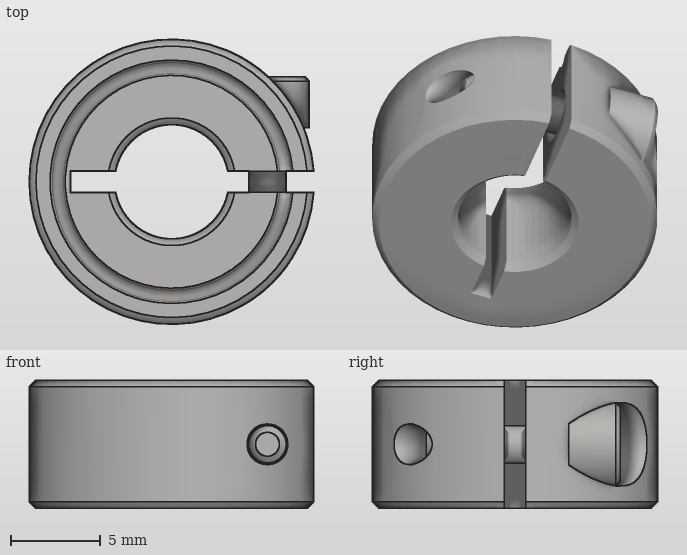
import cadquery as cq
import math

outer_radius = 15.875 / 2
bore_radius = 6.35 / 2
width = 7.14
edge_chamfer = 0.38
top_z = width / 2

groove_mean_radius = 6.35
groove_width = 0.85
groove_wall_depth = 0.2
groove_wall_slope = math.radians(60)

slot_width = 1.19
slot_end_x = -5.63

screw_x = 5.33
seat_y = 3.0
head_diameter = 4.65
head_height = 2.86
head_chamfer = 0.25
shank_diameter = 2.09
shank_length = 7.94
tip_chamfer = 0.38
clearance_diameter = 3.05
threaded_diameter = 2.26


def y_cylinder(diameter, start_y, end_y):
    """Cylinder on the screw axis between two Y positions, start_y being the higher."""
    plane = cq.Workplane("XZ", origin=(screw_x, start_y, 0))
    return plane.circle(diameter / 2).extrude(start_y - end_y)


def make_body():
    """Chamfered ring with a chamfered bore."""
    ring = cq.Workplane("XY").circle(outer_radius).circle(bore_radius).extrude(top_z, both=True)
    return ring.faces("|Z").edges().chamfer(edge_chamfer)


def make_groove():
    """Ring cutter whose sloping walls run tangent into the bottom arc."""
    half_width = groove_width / 2
    arc_half_width = half_width - groove_wall_depth / math.tan(groove_wall_slope)
    arc_radius = arc_half_width / math.sin(groove_wall_slope)
    arc_z = top_z - groove_wall_depth
    bottom_z = arc_z - arc_radius * (1 - math.cos(groove_wall_slope))
    profile = (
        cq.Workplane("XZ")
        .moveTo(groove_mean_radius - half_width, top_z)
        .lineTo(groove_mean_radius - arc_half_width, arc_z)
        .threePointArc((groove_mean_radius, bottom_z), (groove_mean_radius + arc_half_width, arc_z))
        .lineTo(groove_mean_radius + half_width, top_z)
        .close()
    )
    return profile.revolve(360, (0, 0), (0, 1))


def make_slot():
    """Through slot from its blind end out past the +X side."""
    length = outer_radius - slot_end_x
    return cq.Workplane("XY").box(length, slot_width, width, centered=(False, True, True)).translate(
        (slot_end_x, 0, 0)
    )


def make_screw_hole():
    """Head recess open to +Y, clearance hole down to the slot, threaded hole out to -Y."""
    recess = y_cylinder(head_diameter, outer_radius, seat_y)
    clearance = y_cylinder(clearance_diameter, seat_y, 0)
    threaded = y_cylinder(threaded_diameter, 0, -outer_radius)
    return recess.union(clearance).union(threaded)


def make_screw():
    """Cap screw whose head rests on the recess floor."""
    head = y_cylinder(head_diameter, seat_y + head_height, seat_y)
    head = head.faces(">Y").chamfer(head_chamfer)
    shank = y_cylinder(shank_diameter, seat_y, seat_y - shank_length)
    shank = shank.faces("<Y").chamfer(tip_chamfer)
    return head.union(shank)


collar = make_body().cut(make_groove()).cut(make_slot()).cut(make_screw_hole())
result = collar.union(make_screw())